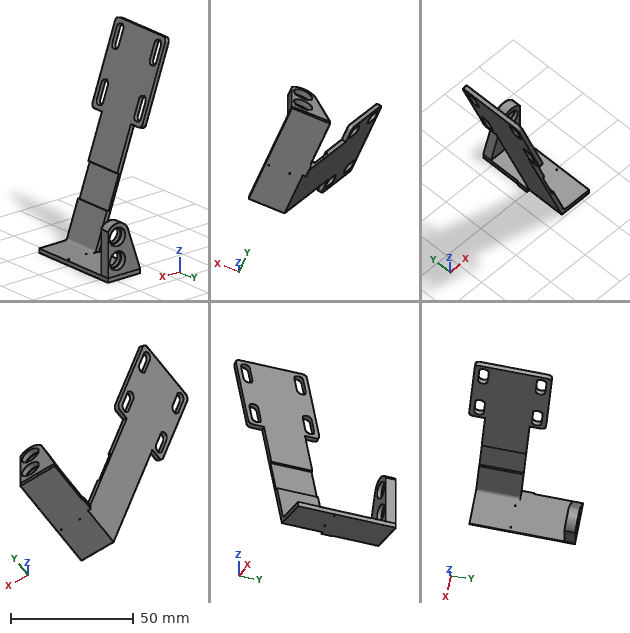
import cadquery as cq
import math


SHEET = 2.0
LEAN = 20.0
ARM_LENGTH = 95.35
ARM_WIDTH = 18.5
BEND_RADIUS = 1.5

RELIEF_START = 19.2
RELIEF_LENGTH = 16.0
RELIEF_DEPTH = 0.85

HEAD_LENGTH = 39.0
HEAD_WIDTH = 32.0
HEAD_MIDDLE = ARM_LENGTH - HEAD_LENGTH / 2
HEAD_CORNER_RADIUS = 2.0
SLOT_LENGTH = 11.0
SLOT_WIDTH = 4.0
SLOT_PITCH = 24.0

FOOT_RIGHT = 16.0
FOOT_LEFT = -1.1
FOOT_BACK = 34.75
TAB_LEFT = -1.5
TAB_BACK = 14.2
TAB_BLEND = 1.3
PILOT_DIAMETER = 0.4
PILOT_XS = (5.2, 14.4)
PILOT_Y = 7.75

LUG_THICKNESS = 4.5
LUG_RADIUS = 6.0
HOLE_X = 11.0
TOP_HOLE_Z = 19.0
HOLE_SPACING = 10.5
HOLE_DIAMETER = 7.15
COUNTERBORE_DIAMETER = 8.15
COUNTERBORE_DEPTH = 2.5

SIN_LEAN = math.sin(math.radians(LEAN))
COS_LEAN = math.cos(math.radians(LEAN))

ARM_PLANE = cq.Plane(origin=(0, 0, 0), xDir=(0, -1, 0), normal=(-COS_LEAN, 0, -SIN_LEAN))


def arm_point(along, depth):
    """X, Z of a point some way up the arm and some depth in from its outer face."""
    return (depth * COS_LEAN - along * SIN_LEAN, depth * SIN_LEAN + along * COS_LEAN)


def make_bent_strip():
    """Foot and arm as one bent strip of the arm's width, with the relief in the arm."""
    inner_corner_x = SHEET * (1 - SIN_LEAN) / COS_LEAN
    relief_end = RELIEF_START + RELIEF_LENGTH
    relief_floor = SHEET - RELIEF_DEPTH
    strip = (
        cq.Workplane("XZ", origin=(0, ARM_WIDTH / 2, 0))
        .moveTo(0, 0)
        .lineTo(FOOT_RIGHT, 0)
        .lineTo(FOOT_RIGHT, SHEET)
        .lineTo(inner_corner_x, SHEET)
        .lineTo(*arm_point(RELIEF_START, SHEET))
        .lineTo(*arm_point(RELIEF_START, relief_floor))
        .lineTo(*arm_point(relief_end, relief_floor))
        .lineTo(*arm_point(relief_end, SHEET))
        .lineTo(*arm_point(ARM_LENGTH, SHEET))
        .lineTo(*arm_point(ARM_LENGTH, 0))
        .close()
        .extrude(ARM_WIDTH)
    )
    inner_bend = cq.selectors.NearestToPointSelector((inner_corner_x, 0, SHEET))
    return strip.edges("|Y").edges(inner_bend).fillet(BEND_RADIUS)


def make_head():
    """Plate with rounded corners at the top of the arm."""
    return (
        cq.Workplane(ARM_PLANE)
        .center(0, HEAD_MIDDLE)
        .rect(HEAD_WIDTH, HEAD_LENGTH)
        .extrude(-SHEET)
        .edges(cq.selectors.ParallelDirSelector(ARM_PLANE.zDir))
        .fillet(HEAD_CORNER_RADIUS)
    )


def make_slots():
    """Cutters for the four slots, which run along the arm."""
    return (
        cq.Workplane(ARM_PLANE)
        .center(0, HEAD_MIDDLE)
        .rarray(SLOT_PITCH, SLOT_PITCH, 2, 2)
        .slot2D(SLOT_LENGTH, SLOT_WIDTH, angle=90)
        .extrude(-SHEET)
    )


def make_foot_extension():
    """Part of the foot that runs on behind the arm, under the lug."""
    return (
        cq.Workplane("XY")
        .moveTo(FOOT_RIGHT, ARM_WIDTH / 2)
        .lineTo(FOOT_RIGHT, FOOT_BACK)
        .lineTo(FOOT_LEFT, FOOT_BACK)
        .lineTo(FOOT_LEFT, TAB_BACK + TAB_BLEND)
        .tangentArcPoint((TAB_LEFT, TAB_BACK), relative=False)
        .lineTo(TAB_LEFT, ARM_WIDTH / 2)
        .close()
        .extrude(SHEET)
    )


def make_bracket():
    """Arm, head and foot as one sheet, with the slots and two tiny pilot holes in the foot."""
    pilot_holes = (
        cq.Workplane("XY")
        .pushPoints([(x, PILOT_Y) for x in PILOT_XS])
        .circle(PILOT_DIAMETER / 2)
        .extrude(SHEET)
    )
    sheet = make_bent_strip().union(make_head()).union(make_foot_extension())
    return sheet.cut(make_slots()).cut(pilot_holes)


def make_lug():
    """Upright plate on the foot: slanted on the left, rounded on top, with two stepped holes."""
    run = HOLE_X - FOOT_LEFT
    rise = TOP_HOLE_Z - SHEET
    slant = math.atan2(rise, run) + math.asin(LUG_RADIUS / math.hypot(run, rise))
    tangent_x = HOLE_X - LUG_RADIUS * math.sin(slant)
    tangent_z = TOP_HOLE_Z + LUG_RADIUS * math.cos(slant)
    right_corner_z = TOP_HOLE_Z + math.sqrt(LUG_RADIUS**2 - (FOOT_RIGHT - HOLE_X) ** 2)

    lug = (
        cq.Workplane("XZ", origin=(0, FOOT_BACK, 0))
        .moveTo(FOOT_LEFT, SHEET)
        .lineTo(FOOT_RIGHT, SHEET)
        .lineTo(FOOT_RIGHT, right_corner_z)
        .threePointArc((HOLE_X, TOP_HOLE_Z + LUG_RADIUS), (tangent_x, tangent_z))
        .close()
        .extrude(LUG_THICKNESS)
    )
    holes = cq.Workplane("XZ", origin=(0, FOOT_BACK, 0)).pushPoints(
        [(HOLE_X, TOP_HOLE_Z), (HOLE_X, TOP_HOLE_Z - HOLE_SPACING)]
    )
    bores = holes.circle(HOLE_DIAMETER / 2).extrude(LUG_THICKNESS)
    counterbores = holes.circle(COUNTERBORE_DIAMETER / 2).extrude(COUNTERBORE_DEPTH)
    return lug.cut(bores).cut(counterbores)


bracket = make_bracket()
lug = make_lug()

result = cq.Compound.makeCompound([bracket.val(), lug.val()])